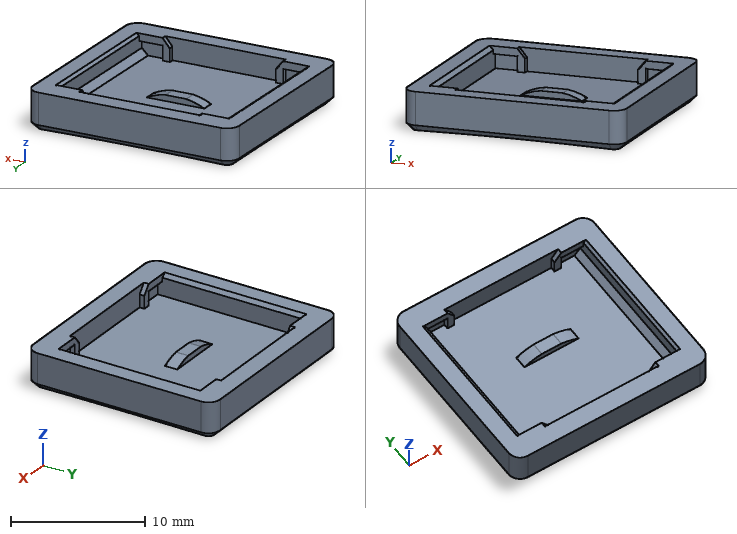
import cadquery as cq
import math

length = 17.5
width = 16.5
height = 3.13
corner_radius = 1.03
bottom_chamfer = 0.55
dish_radius = 245.0

cavity_depth = 1.82
opening_length = 14.65
opening_half_width = 6.25
chamber_half_width = 6.67
lip_thickness = 0.61
left_lead_in = 0.32
right_lead_in = 0.23
right_foot_chamfer = 0.52

post_inner_x = 4.5
post_outer_x = 5.11
post_slope_drop = 0.74

ridge_half_length = 2.43
ridge_flat_half_length = 0.88
ridge_height = 0.49
ridge_arc_bulge = 0.07
ridge_width = 1.08

floor_z = height - cavity_depth
opening_half_length = opening_length / 2


def make_body():
    """Rounded plate with a chamfered base and a shallow spherical dish beneath."""
    body = cq.Workplane("XY").box(length, width, height, centered=(True, True, False))
    body = body.edges("|Z").fillet(corner_radius)
    body = body.faces("<Z").edges().chamfer(bottom_chamfer)
    base_corner_radius = corner_radius - bottom_chamfer
    corner_inset = bottom_chamfer + base_corner_radius * (1 - math.sqrt(0.5))
    dish_rim_radius = math.hypot(length / 2 - corner_inset, width / 2 - corner_inset)
    dish_center_z = -math.sqrt(dish_radius**2 - dish_rim_radius**2)
    dish = cq.Workplane("XY").sphere(dish_radius).translate((0, 0, dish_center_z))
    return body.cut(dish)


def extrude_across(corners, half_width):
    """Extrude a closed XZ polygon equally to both sides of the XZ plane."""
    return cq.Workplane("XZ").polyline(corners).close().extrude(half_width, both=True)


def make_cavity():
    """Main opening, undercut end chambers and tapered notches between the posts."""
    left_x = left_lead_in - opening_half_length
    right_x = opening_half_length - right_lead_in
    cavity_profile = [
        (-opening_half_length, height),
        (left_x, height - left_lead_in),
        (left_x, floor_z),
        (right_x - right_foot_chamfer, floor_z),
        (right_x, floor_z + right_foot_chamfer),
        (right_x, height - right_lead_in),
        (opening_half_length, height),
    ]
    opening = extrude_across(cavity_profile, opening_half_width)

    end_chambers = extrude_across(cavity_profile, chamber_half_width)
    chamber_top_z = height - lip_thickness
    lip = cq.Workplane("XY").workplane(offset=chamber_top_z)
    lip = lip.rect(length, width).extrude(lip_thickness)
    post_span = cq.Workplane("XY").box(2 * post_outer_x, width, height, centered=(True, True, False))
    end_chambers = end_chambers.cut(lip).cut(post_span)

    notch_profile = [
        (-post_outer_x, height),
        (-post_inner_x, height - post_slope_drop),
        (-post_inner_x, floor_z),
        (post_inner_x, floor_z),
        (post_inner_x, height - post_slope_drop),
        (post_outer_x, height),
    ]
    notches = extrude_across(notch_profile, chamber_half_width)
    return opening.union(end_chambers).union(notches)


def make_ridge():
    """Flat-topped ridge whose ends fall to the floor in shallow convex arcs."""
    top_z = floor_z + ridge_height
    run = ridge_half_length - ridge_flat_half_length
    chord = math.hypot(run, ridge_height)
    arc_x = ridge_flat_half_length + run / 2 + ridge_arc_bulge * ridge_height / chord
    arc_z = floor_z + ridge_height / 2 + ridge_arc_bulge * run / chord
    return (
        cq.Workplane("XZ")
        .moveTo(ridge_flat_half_length, top_z)
        .lineTo(-ridge_flat_half_length, top_z)
        .threePointArc((-arc_x, arc_z), (-ridge_half_length, floor_z))
        .lineTo(ridge_half_length, floor_z)
        .threePointArc((arc_x, arc_z), (ridge_flat_half_length, top_z))
        .close()
        .extrude(-ridge_width)
    )


result = make_body().cut(make_cavity()).union(make_ridge())